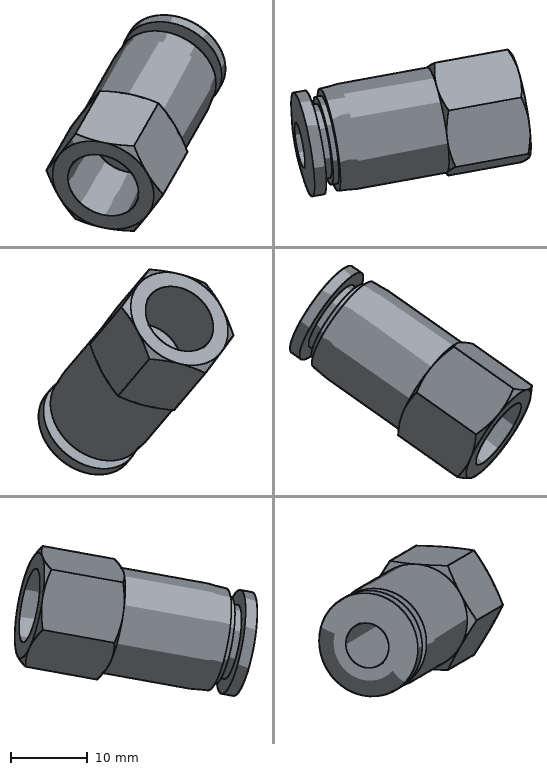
import cadquery as cq
import math

hex_sides = 6
hex_across_flats = 14.0
hex_end = 11.0
corner_chamfer_angle = 30
cutter_margin = 0.3
body_radius = hex_across_flats / 2
hex_corner_radius = body_radius / math.cos(math.pi / hex_sides)

body_end = 23.02
taper_radius = 6.8
taper_end = 25.5
step_radius = 5.85
step_end = 26.25
neck_radius = 4.95
cap_start = 27.4
cap_radius = 6.9
cap_rim_end = 29.0
cap_face_radius = 4.7
total_length = 29.4

socket_mouth_radius = 4.88
socket_depth = 9.4
socket_taper = 1 / 16
socket_floor_radius = socket_mouth_radius - socket_depth * socket_taper / 2
hole_radius = 3.0


def revolve_about_y(points):
    """Revolve a closed (radius, Y) outline around the Y axis."""
    outline = cq.Workplane("XY").polyline(points).close()
    return outline.revolve(360, (0, 0, 0), (0, 1, 0))


def make_hex():
    """Hexagon with corners on X, both ends chamfered by cones."""
    prism = (
        cq.Workplane("XZ")
        .polygon(hex_sides, 2 * hex_corner_radius)
        .extrude(-hex_end)
    )
    envelope_radius = hex_corner_radius + cutter_margin
    drop = (envelope_radius - body_radius) * math.tan(math.radians(corner_chamfer_angle))
    envelope = revolve_about_y([
        (0, 0),
        (body_radius, 0),
        (envelope_radius, drop),
        (envelope_radius, hex_end - drop),
        (body_radius, hex_end),
        (0, hex_end),
    ])
    return prism.intersect(envelope)


def make_body():
    """Body, stepped shoulder, neck and domed release collar."""
    return revolve_about_y([
        (0, hex_end),
        (body_radius, hex_end),
        (body_radius, body_end),
        (taper_radius, taper_end),
        (step_radius, taper_end),
        (step_radius, step_end),
        (neck_radius, step_end),
        (neck_radius, cap_start),
        (cap_radius, cap_start),
        (cap_radius, cap_rim_end),
        (cap_face_radius, total_length),
        (0, total_length),
    ])


def make_bore():
    """Tapered socket followed by the through hole."""
    return revolve_about_y([
        (0, 0),
        (socket_mouth_radius, 0),
        (socket_floor_radius, socket_depth),
        (hole_radius, socket_depth),
        (hole_radius, total_length),
        (0, total_length),
    ])


result = make_hex().union(make_body()).cut(make_bore())